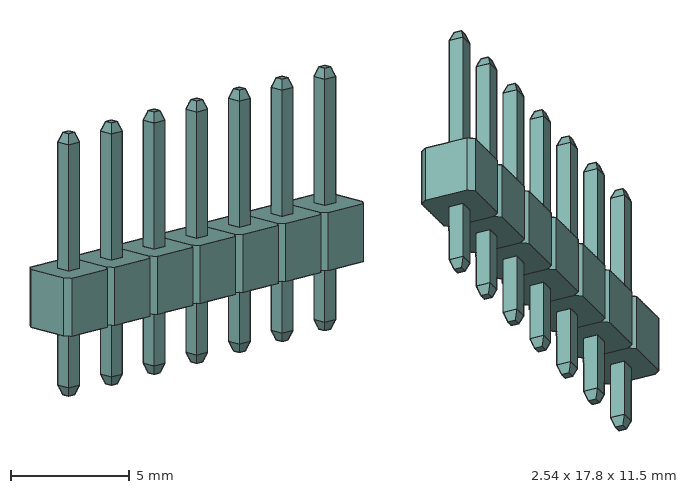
import cadquery as cq

overall_length = 17.78
section_count = 7
pitch = overall_length / section_count

block_side = pitch
block_height = 2.55
corner_cut_x = 0.28
corner_cut_y = 0.21

pin_side = 0.65
pin_length = 11.5
pin_below_block = 3.0
taper_length = 0.43
tip_side = 0.35
tip_inset = (pin_side - tip_side) / 2


def make_block():
    """Square block with its four upright corners cut off."""
    half_side = block_side / 2
    flat_x = half_side - corner_cut_x
    flat_y = half_side - corner_cut_y
    outline = [
        (flat_x, -half_side),
        (half_side, -flat_y),
        (half_side, flat_y),
        (flat_x, half_side),
        (-flat_x, half_side),
        (-half_side, flat_y),
        (-half_side, -flat_y),
        (-flat_x, -half_side),
    ]
    return cq.Workplane("XY").polyline(outline).close().extrude(block_height)


def make_pin():
    """Square pin with a tapered tip at each end."""
    return (
        cq.Workplane("XY")
        .workplane(offset=-pin_below_block)
        .rect(pin_side, pin_side)
        .extrude(pin_length)
        .faces("<Z or >Z")
        .chamfer(taper_length, tip_inset)
    )


def make_section(y_center):
    """One header section: block and pin as a single solid."""
    return make_block().union(make_pin()).translate((0, y_center, 0))


first_center = -(overall_length - pitch) / 2
sections = [make_section(first_center + index * pitch) for index in range(section_count)]

result = cq.Compound.makeCompound([section.val() for section in sections])